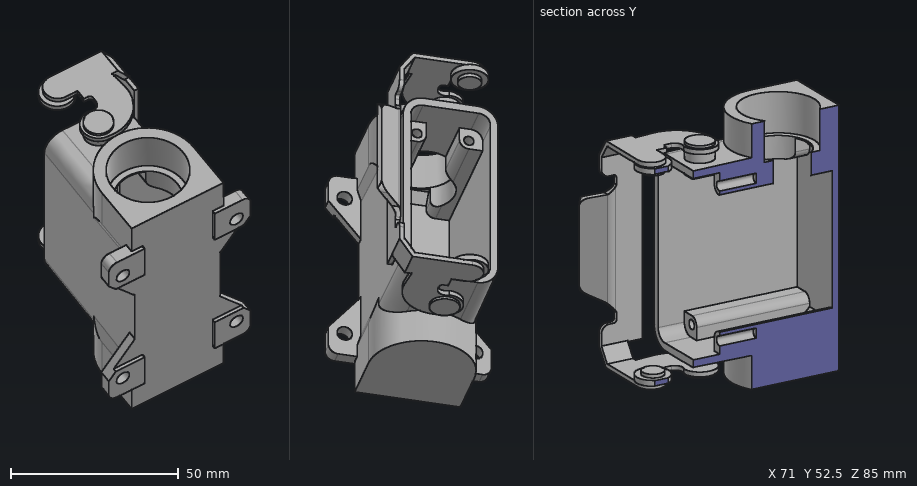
import cadquery as cq
import math


back_x = 50.75
mouth_half_y = 14.6
mouth_half_z = 31.45
shell_draft = 0.6
corner_radius = 6.4
wall = 2.4
end_wall = 2.55
cavity_half_y = mouth_half_y - wall
cavity_half_z = mouth_half_z - end_wall
cavity_corner = 3.65
cavity_back_x = back_x - wall
cavity_chamfer = 3.1

post_front_x = 9.1
post_y = 8.0
post_z = 24.7
post_reach = 2.9
post_rounding = 2.8
post_hole_radius = 1.5
post_hole_depth = 12.75

boss_x = 34.4
boss_radius = 16.3
boss_end_z = 42.5
boss_slope_top_z = 27.8
boss_slope_bottom_z = 22.5
boss_slope_inset = 1.6
bore_radius = 12.5
passage_radius = 10.4
bore_floor_z = 29.3

ear_front_x = 47.8
ear_back_x = 51.9
ear_half_y = 25.2
ear_half_z = 31.7
ear_shoulder_z = 22.35
ear_root_y = 13.6
ear_root_z = 8.4
ear_corner_radius = 2.9
ear_hole_y = 20.15
ear_hole_z = 24.05
ear_hole_radius = 2.3
foot_inner_y = 12.4
foot_inner_z = 19.4

sheet = 1.5
lever_left_x = -16.0
arm_right_x = -6.9
bar_right_x = -1.7
bar_y = 20.0
bar_half_z = 30.6
arm_z = 36.3
arm_bend_y = 16.0
grip_angle = 50.0
grip_bend_radius = 3.0
grip_bend_x = -11.1
grip_tip_y = 27.3
grip_root_z = 19.7
grip_flare_x = 2.1
grip_flare_z = 17.4
grip_tip_z = 14.6
grip_tip_radius = 3.6
notch_x = -10.7
notch_top_z = 23.6
notch_bottom_z = 20.4
notch_radius = 1.0
hook_radius = 2.55

lobe_y = -2.5
step_x = -3.3
step_y = 1.6
throat_y = 4.1
throat_radius = 1.0
throat_end_x = -0.3
lip_point = (1.6, 2.7)
arm_back_point = (9.2, 10.8)
arm_top_point = (-0.4, 14.45)
arm_neck_y = 13.85

pivot_x = 7.1
pivot_radius = 4.6
pivot_eye_radius = 5.6
pivot_head = 0.85
roller_x = -11.0
roller_y = -3.0
roller_radius = 5.6
roller_thickness = 1.9
roller_collar_radius = 3.6
roller_collar_thickness = 1.2


def cylinder(x, y, radius, z_low, z_high):
    """Upright cylinder between two heights."""
    return cq.Workplane("XY", origin=(x, y, z_low)).circle(radius).extrude(z_high - z_low)


def box_between(x_range, y_range, z_range):
    """Box given by its limits on each axis."""
    size = [high - low for low, high in (x_range, y_range, z_range)]
    corner = (x_range[0], y_range[0], z_range[0])
    return cq.Workplane("XY").box(*size, centered=False).translate(corner)


def with_mirror(solid, plane):
    """The solid together with its mirror image."""
    return solid.union(solid.mirror(plane))


def make_shell():
    mouth = (
        cq.Sketch()
        .rect(2 * mouth_half_y, 2 * mouth_half_z)
        .vertices()
        .fillet(corner_radius)
    )
    return cq.Workplane("YZ").placeSketch(mouth).extrude(back_x, taper=-shell_draft)


def make_cavity():
    cavity = (
        cq.Workplane("YZ")
        .rect(2 * cavity_half_y, 2 * cavity_half_z)
        .extrude(cavity_back_x)
        .edges("|X")
        .fillet(cavity_corner)
    )
    chamfered = (
        cq.Workplane("XZ")
        .rect(2 * cavity_back_x, 2 * cavity_half_z)
        .extrude(mouth_half_y, both=True)
        .edges("|Y and >X")
        .chamfer(cavity_chamfer)
    )
    return cavity.intersect(chamfered)


def make_posts(cavity):
    post = box_between(
        (post_front_x, back_x),
        (post_y - post_reach, mouth_half_y),
        (post_z - post_reach, mouth_half_z),
    )
    post = post.edges("|X and <Y and <Z").fillet(post_rounding)
    hole = (
        cq.Workplane("YZ", origin=(post_front_x, post_y, post_z))
        .circle(post_hole_radius)
        .extrude(post_hole_depth)
    )
    post = post.intersect(cavity).cut(hole)
    return with_mirror(with_mirror(post, "XZ"), "XY")


def make_boss():
    round_part = cylinder(boss_x, 0, boss_radius, boss_slope_bottom_z, boss_end_z)
    square_part = box_between(
        (boss_x, back_x),
        (-boss_radius, boss_radius),
        (boss_slope_bottom_z, boss_end_z),
    )
    slope_y = boss_radius - boss_slope_inset
    side_profile = (
        cq.Workplane("YZ")
        .polyline([
            (-slope_y, boss_slope_bottom_z),
            (slope_y, boss_slope_bottom_z),
            (boss_radius, boss_slope_top_z),
            (boss_radius, boss_end_z),
            (-boss_radius, boss_end_z),
            (-boss_radius, boss_slope_top_z),
        ])
        .close()
        .extrude(back_x)
    )
    return round_part.union(square_part).intersect(side_profile)


def make_ear():
    plate = (
        cq.Workplane("YZ", origin=(ear_front_x, 0, 0))
        .polyline([
            (ear_root_y, ear_root_z),
            (ear_half_y, ear_shoulder_z),
            (ear_half_y, ear_half_z),
            (foot_inner_y, ear_half_z),
            (foot_inner_y, ear_root_z),
        ])
        .close()
        .extrude(ear_back_x - ear_front_x)
        .edges("|X and >Y and >Z")
        .fillet(ear_corner_radius)
    )
    relief = box_between((back_x, ear_back_x), (0, ear_half_y), (0, foot_inner_z))
    hole = (
        cq.Workplane("YZ", origin=(ear_front_x, ear_hole_y, ear_hole_z))
        .circle(ear_hole_radius)
        .extrude(ear_back_x - ear_front_x)
    )
    return plate.cut(relief).cut(hole)


def make_bar():
    """Flat upright bar with a notched hook at each end."""
    bar = (
        cq.Workplane("XZ", origin=(0, bar_y, 0))
        .polyline([
            (bar_right_x, -bar_half_z),
            (bar_right_x, bar_half_z),
            (lever_left_x, bar_half_z),
            (lever_left_x, notch_top_z),
            (notch_x, notch_top_z),
            (notch_x, notch_bottom_z),
            (grip_bend_x, grip_root_z),
            (grip_bend_x, -grip_root_z),
            (notch_x, -notch_bottom_z),
            (notch_x, -notch_top_z),
            (lever_left_x, -notch_top_z),
            (lever_left_x, -bar_half_z),
        ])
        .close()
        .extrude(sheet)
    )
    for z in (notch_top_z, -notch_top_z):
        hook_edge = cq.selectors.NearestToPointSelector((lever_left_x, bar_y - sheet / 2, z))
        notch_edge = cq.selectors.NearestToPointSelector((notch_x, bar_y - sheet / 2, z))
        bar = bar.edges(hook_edge).fillet(hook_radius)
        bar = bar.edges(notch_edge).fillet(notch_radius)
    return bar


def make_grip():
    """Finger grip: a bend and a slanted flap, narrowing toward the tip."""
    angle = math.radians(grip_angle)
    inner_radius = grip_bend_radius - sheet
    bend_y = bar_y + inner_radius

    def bend_point(radius, turn):
        return (grip_bend_x - radius * math.sin(turn), bend_y - radius * math.cos(turn))

    inner_end = bend_point(inner_radius, angle)
    outer_end = bend_point(grip_bend_radius, angle)
    rise = grip_tip_y - inner_end[1]
    run = rise / math.tan(angle)
    strip = (
        cq.Workplane("XY", origin=(0, 0, -grip_root_z))
        .moveTo(grip_bend_x, bar_y)
        .threePointArc(bend_point(inner_radius, angle / 2), inner_end)
        .lineTo(inner_end[0] - run, inner_end[1] + rise)
        .lineTo(outer_end[0] - run, outer_end[1] + rise)
        .lineTo(*outer_end)
        .threePointArc(bend_point(grip_bend_radius, angle / 2), (grip_bend_x, bar_y - sheet))
        .close()
        .extrude(2 * grip_root_z)
    )
    tip_x = outer_end[0] - run
    outline = (
        cq.Workplane("XZ", origin=(0, grip_tip_y, 0))
        .polyline([
            (grip_bend_x, grip_root_z),
            (grip_bend_x - grip_flare_x, grip_flare_z),
            (tip_x, grip_tip_z),
            (tip_x, -grip_tip_z),
            (grip_bend_x - grip_flare_x, -grip_flare_z),
            (grip_bend_x, -grip_root_z),
        ])
        .close()
        .extrude(grip_tip_y)
        .edges("|Y and <X")
        .fillet(grip_tip_radius)
    )
    return strip.intersect(outline)


def make_arm():
    """Upper arm: sloped corner from the bar, roller lobe and hooked pivot eye."""
    tilt = math.atan2(bar_y - arm_bend_y, arm_z - bar_half_z)
    bar_setback = sheet * math.tan(tilt / 2)
    arm_setback = sheet * math.tan((math.pi / 2 - tilt) / 2)
    slope = (
        cq.Workplane("YZ", origin=(lever_left_x, 0, 0))
        .polyline([
            (bar_y, bar_half_z),
            (arm_bend_y, arm_z),
            (arm_bend_y - arm_setback, arm_z - sheet),
            (bar_y - sheet, bar_half_z - bar_setback),
        ])
        .close()
        .extrude(arm_right_x - lever_left_x)
    )
    lobe_radius = (arm_right_x - lever_left_x) / 2
    lobe_x = (arm_right_x + lever_left_x) / 2
    plate = (
        cq.Workplane("XY", origin=(0, 0, arm_z - sheet))
        .moveTo(lever_left_x, arm_bend_y)
        .lineTo(lever_left_x, lobe_y)
        .threePointArc((lobe_x, lobe_y - lobe_radius), (arm_right_x, lobe_y))
        .lineTo(arm_right_x, step_y)
        .lineTo(step_x, step_y)
        .lineTo(step_x, throat_y - throat_radius)
        .radiusArc((step_x + throat_radius, throat_y), throat_radius)
        .lineTo(throat_end_x, throat_y)
        .threePointArc(lip_point, (pivot_x - pivot_eye_radius, 0))
        .threePointArc((pivot_x, -pivot_eye_radius), (pivot_x + pivot_eye_radius, 0))
        .threePointArc(arm_back_point, arm_top_point)
        .lineTo(arm_right_x, arm_neck_y)
        .lineTo(arm_right_x, arm_bend_y)
        .close()
        .extrude(sheet)
    )
    return plate.union(slope)


def make_roller():
    """Roller and collar on the inner face of the upper arm."""
    top = arm_z - sheet
    bottom = top - roller_thickness
    roller = cylinder(roller_x, roller_y, roller_radius, bottom, top)
    collar = cylinder(
        roller_x, roller_y, roller_collar_radius, bottom - roller_collar_thickness, bottom
    )
    return roller.union(collar)


def make_lever():
    pivot_cap = cylinder(pivot_x, 0, pivot_radius, arm_z, arm_z + pivot_head)
    upper_end = make_arm().union(make_roller()).union(pivot_cap)
    return make_bar().union(make_grip()).union(with_mirror(upper_end, "XY"))


def make_housing():
    cavity = make_cavity()
    bosses = with_mirror(make_boss(), "XY")
    ears = with_mirror(with_mirror(make_ear(), "XZ"), "XY")
    housing = make_shell().union(bosses).cut(cavity).union(make_posts(cavity)).union(ears)
    bore = cylinder(boss_x, 0, bore_radius, bore_floor_z, boss_end_z)
    passage = cylinder(boss_x, 0, passage_radius, 0, boss_end_z)
    pivot_pin = cylinder(pivot_x, 0, pivot_radius, cavity_half_z + end_wall / 2, arm_z)
    return housing.cut(bore).cut(passage).union(pivot_pin)


result = make_housing().union(make_lever())